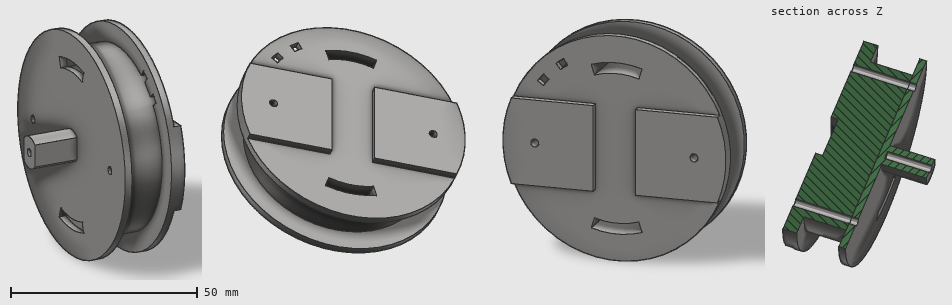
import cadquery as cq
import math

plate_thickness = 2.0
drum_length = 12.0
shaft_length = 12.7
dog_height = 2.0

flange_diameter = 63.0
drum_diameter = 52.0
shaft_diameter = 9.0
shaft_flats_width = 6.4
hole_diameter = 2.2
hole_offset = 22.5

window_inner_radius = 21.0
window_outer_radius = 24.0
window_half_angle = 17.4
window_directions = (90, 270)

dog_width = 24.0
dog_gap = 12.0

slit_inner_radius = drum_diameter / 2
slit_outer_radius = 28.05
slit_half_angle = 2.7
slit_directions = (-55.1, -39.8)

shaft_end_y = 0.0
front_face_y = shaft_end_y + shaft_length
drum_start_y = front_face_y + plate_thickness
drum_end_y = drum_start_y + drum_length
back_face_y = drum_end_y + plate_thickness
dog_end_y = back_face_y + dog_height


def plane_at(y):
    """Plane normal to +Y; its local axes are X and -Z."""
    return cq.Workplane(cq.Plane(origin=(0, y, 0), xDir=(1, 0, 0), normal=(0, 1, 0)))


def disc(diameter, start_y, end_y):
    return plane_at(start_y).circle(diameter / 2).extrude(end_y - start_y)


def polar(radius, angle):
    """Point in a Y plane, with positive angles turning from +X toward -Z."""
    return (radius * math.cos(math.radians(angle)), radius * math.sin(math.radians(angle)))


def ring_sector(inner_radius, outer_radius, direction, half_angle, start_y, end_y):
    """Block bounded by two arcs about the axis and two radial sides."""
    first = direction - half_angle
    last = direction + half_angle
    return (
        plane_at(start_y)
        .moveTo(*polar(inner_radius, first))
        .threePointArc(polar(inner_radius, direction), polar(inner_radius, last))
        .lineTo(*polar(outer_radius, last))
        .threePointArc(polar(outer_radius, direction), polar(outer_radius, first))
        .close()
        .extrude(end_y - start_y)
    )


def cut_windows(body, start_y, end_y):
    """Cut the two curved windows through a body."""
    for direction in window_directions:
        window = ring_sector(
            window_inner_radius, window_outer_radius, direction, window_half_angle, start_y, end_y
        )
        body = body.cut(window)
    return body


def cut_slits(flange):
    """Cut the small openings through the back flange."""
    for direction in slit_directions:
        slit = ring_sector(
            slit_inner_radius, slit_outer_radius, direction, slit_half_angle, drum_end_y, back_face_y
        )
        flange = flange.cut(slit)
    return flange


def cut_side_holes(body, start_y, end_y):
    """Cut the two small holes on either side of the axis."""
    holes = (
        plane_at(start_y)
        .pushPoints([(-hole_offset, 0), (hole_offset, 0)])
        .circle(hole_diameter / 2)
        .extrude(end_y - start_y)
    )
    return body.cut(holes)


def make_cover():
    """Front flange with its flatted shaft."""
    flange = disc(flange_diameter, front_face_y, drum_start_y)
    flats = plane_at(shaft_end_y).rect(shaft_flats_width, shaft_diameter).extrude(shaft_length)
    shaft = disc(shaft_diameter, shaft_end_y, front_face_y).intersect(flats)
    body = flange.union(shaft).cut(disc(hole_diameter, shaft_end_y, front_face_y))
    body = cut_windows(body, front_face_y, drum_start_y)
    return cut_side_holes(body, front_face_y, drum_start_y)


def make_spool():
    """Drum with the back flange and its two driving dogs."""
    drum = disc(drum_diameter, drum_start_y, drum_end_y)
    flange = cut_slits(disc(flange_diameter, drum_end_y, back_face_y))
    bar = plane_at(back_face_y).rect(flange_diameter, dog_width).extrude(dog_height)
    gap = plane_at(back_face_y).rect(dog_gap, dog_width).extrude(dog_height)
    dogs = disc(flange_diameter, back_face_y, dog_end_y).intersect(bar).cut(gap)
    body = cut_windows(drum.union(flange).union(dogs), drum_start_y, dog_end_y)
    return cut_side_holes(body, drum_start_y, dog_end_y)


cover = make_cover()
spool = make_spool()

result = cq.Compound.makeCompound([cover.val(), spool.val()])